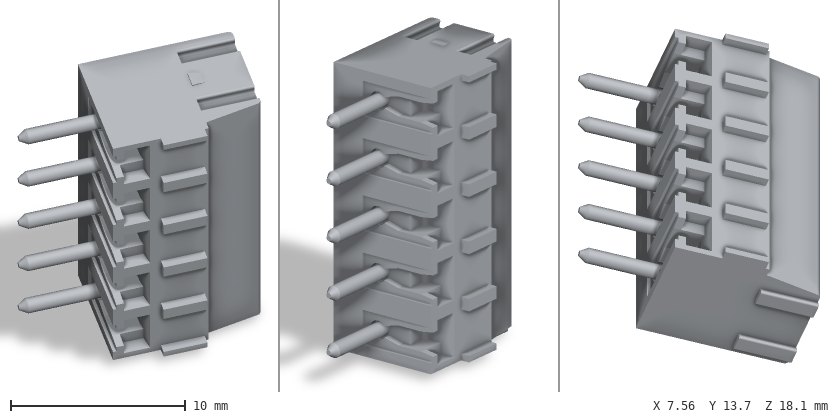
import cadquery as cq
import math


pole_count = 5
overall_height = 18.08
body_height = 17.5
pitch = body_height / pole_count
body_width = 7.0
body_depth = 9.18
corner_radius = 0.29
shoulder_width = 6.5
shoulder_y = 5.71
back_width = 5.9

tab_thickness = 0.56
tab_half_height = 0.38
tab_start_y = 2.85
tab_end_y = 5.48

recess_start_x = 2.02
recess_height = 2.15
recess_depth = 0.2
funnel_depth = 0.65
funnel_half_at_pin = 0.24
funnel_half_height = 0.61
funnel_half_at_side = 0.75
funnel_taper_end_x = 4.52
flare_start_x = 6.17
well_start_x = 5.05
well_ramp_x = 5.71
well_depth = 1.99
well_ramp_angle = 10.0
well_fillet = 0.29

pin_x = 3.05
pin_radius = 0.45
pin_hole_radius = 0.58
pin_length = 4.47
pin_tip_length = 0.49
pin_tip_radius = 0.16

dovetail_centers_x = (1.12, 5.0)
dovetail_length = 3.49
dovetail_height = 0.49
dovetail_neck_half = 0.35
dovetail_half_width = 0.52
dovetail_flare_height = 0.3
rail_edge_radius = 0.1
groove_depth = 0.5
groove_mouth_half = 0.55
groove_waist_half = 0.45
groove_waist_depth = 0.15
groove_flare_depth = 0.35
groove_edge_radius = 0.13

catch_height = overall_height - body_height - dovetail_height
catch_front_y = 5.77
catch_ridge_y = 6.13
catch_back_y = 6.58
catch_front_width = 0.98
catch_back_width = 0.83


def box(x_range, y_range, z_range):
    """Box between pairs of limits along the three axes."""
    size = [high - low for low, high in (x_range, y_range, z_range)]
    return cq.Workplane("XY").box(*size, centered=False).translate((x_range[0], y_range[0], z_range[0]))


def facing_back(y):
    """Sketch plane at the given Y with local axes X and Z; extruding by -d moves towards +Y."""
    return cq.Workplane("XZ", origin=(0, y, 0))


def make_housing():
    outline = [
        (0, 0),
        (body_width, 0),
        (body_width, shoulder_y),
        (shoulder_width, shoulder_y),
        (back_width, body_depth),
        (0, body_depth),
    ]
    housing = cq.Workplane("XY").polyline(outline).close().extrude(body_height)
    return housing.faces(">Y").edges("|Z").fillet(corner_radius)


def make_tabs(pole_z):
    """Tab halves at the lower and upper end of one pole."""
    x_range = (body_width, body_width + tab_thickness)
    y_range = (tab_start_y, tab_end_y)
    low = pole_z - pitch / 2
    high = pole_z + pitch / 2
    lower = box(x_range, y_range, (low, low + tab_half_height))
    upper = box(x_range, y_range, (high - tab_half_height, high))
    return lower.union(upper)


def make_well(pole_z):
    """Deep well behind the funnel, opening sideways through a window between the tabs."""
    ramp_rise = (body_width - well_ramp_x) * math.tan(math.radians(well_ramp_angle))

    def profile_prism(half_height, start_y):
        profile = [
            (well_start_x, start_y),
            (body_width, start_y),
            (body_width, well_depth + ramp_rise),
            (well_ramp_x, well_depth),
            (well_start_x, well_depth),
        ]
        plane = cq.Workplane("XY", origin=(0, 0, pole_z - half_height))
        prism = plane.polyline(profile).close().extrude(2 * half_height)
        return prism.edges("|Z and <X").edges(">Y").fillet(well_fillet)

    slot = profile_prism(funnel_half_height, 0)
    slot = slot.intersect(box((0, flare_start_x), (0, body_depth), (0, body_height)))
    window = profile_prism(pitch / 2 - tab_half_height, funnel_depth)
    window = window.intersect(box((flare_start_x, body_width), (0, body_depth), (0, body_height)))
    return slot.union(window)


def make_openings(pole_z):
    """Everything removed from the housing for one pole."""
    half_recess = recess_height / 2
    recess = box(
        (recess_start_x, body_width), (0, recess_depth), (pole_z - half_recess, pole_z + half_recess)
    )
    upper_edge = [
        (pin_x, funnel_half_at_pin),
        (funnel_taper_end_x, funnel_half_height),
        (flare_start_x, funnel_half_height),
        (body_width, funnel_half_at_side),
    ]
    lower_edge = [(x, -z) for x, z in reversed(upper_edge)]
    funnel_points = [(x, pole_z + z) for x, z in upper_edge + lower_edge]
    funnel = facing_back(0).polyline(funnel_points).close().extrude(-funnel_depth)
    pin_hole = facing_back(0).center(pin_x, pole_z).circle(pin_hole_radius).extrude(-funnel_depth)
    return recess.union(funnel).union(pin_hole).union(make_well(pole_z))


def make_pin(pole_z):
    """Round pin with a conical tip, rooted in the housing as deep as the well floor."""
    profile = [
        (0, well_depth),
        (pin_radius, well_depth),
        (pin_radius, pin_tip_length - pin_length),
        (pin_tip_radius, -pin_length),
        (0, -pin_length),
    ]
    pin = cq.Workplane("XY").polyline(profile).close().revolve(360, (0, 0, 0), (0, 1, 0))
    return pin.translate((pin_x, 0, pole_z))


def make_rail(center_x):
    """Dovetail rail under the bottom face with rounded lower edges."""
    right_edge = [
        (dovetail_neck_half, 0),
        (dovetail_half_width, -dovetail_flare_height),
        (dovetail_half_width, -dovetail_height),
    ]
    left_edge = [(-x, z) for x, z in reversed(right_edge)]
    rail = facing_back(body_depth).polyline(right_edge + left_edge).close().extrude(dovetail_length)
    rail = rail.faces("<Z").edges("|Y").fillet(rail_edge_radius)
    return rail.translate((center_x, 0, 0))


def make_groove(center_x):
    """Undercut groove in the top face with a rounded mouth and rounded floor corners."""
    lip_width = groove_mouth_half - groove_waist_half
    lip_middle = (
        groove_mouth_half - lip_width * math.cos(math.pi / 4),
        groove_waist_depth * (math.sin(math.pi / 4) - 1),
    )
    half = (
        facing_back(body_depth)
        .lineTo(groove_mouth_half, 0)
        .threePointArc(lip_middle, (groove_waist_half, -groove_waist_depth))
        .lineTo(dovetail_half_width, -groove_flare_depth)
        .lineTo(dovetail_half_width, -groove_depth)
        .lineTo(0, -groove_depth)
        .close()
        .extrude(dovetail_length)
    )
    half = half.faces("<Z").edges("|Y").edges(">X").fillet(groove_edge_radius)
    groove = half.union(half.mirror("YZ"))
    return groove.translate((center_x, 0, body_height))


def make_catch():
    """Catch with a flat front part and a ramp falling to the back, narrower at the back."""
    side_profile = [
        (catch_front_y, body_height),
        (catch_front_y, body_height + catch_height),
        (catch_ridge_y, body_height + catch_height),
        (catch_back_y, body_height),
    ]
    plan = [
        (pin_x - catch_front_width / 2, catch_front_y),
        (pin_x + catch_front_width / 2, catch_front_y),
        (pin_x + catch_back_width / 2, catch_back_y),
        (pin_x - catch_back_width / 2, catch_back_y),
    ]
    wedge = cq.Workplane("YZ").polyline(side_profile).close().extrude(body_width)
    plan_prism = cq.Workplane("XY").polyline(plan).close().extrude(overall_height)
    return wedge.intersect(plan_prism)


result = make_housing()
for pole in range(pole_count):
    pole_center_z = (pole + 0.5) * pitch
    result = result.cut(make_openings(pole_center_z))
    result = result.union(make_tabs(pole_center_z)).union(make_pin(pole_center_z))
for dovetail_x in dovetail_centers_x:
    result = result.cut(make_groove(dovetail_x)).union(make_rail(dovetail_x))
result = result.union(make_catch())